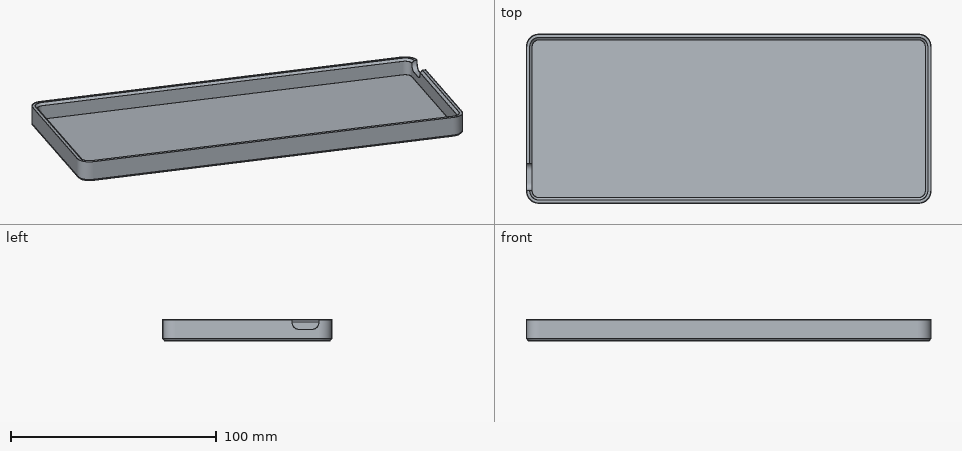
import cadquery as cq

length = 196.5
width = 82.1
height = 10.2
corner_radius = 6.0
bottom_chamfer = 1.0

wall = 2.8
floor_thickness = 2.0
rim_chamfer = 1.2
cavity_radius = corner_radius - wall

notch_width = 13.0
notch_depth = 4.7
notch_radius = 3.3
notch_side_gap = 6.3


def make_body():
    body = cq.Workplane("XY").box(length, width, height, centered=(True, True, False))
    return body.edges("|Z").fillet(corner_radius).faces("<Z").edges().chamfer(bottom_chamfer)


def make_cavity():
    cavity = (
        cq.Workplane("XY")
        .workplane(offset=floor_thickness)
        .rect(length - 2 * wall, width - 2 * wall)
        .extrude(height - floor_thickness)
        .edges("|Z")
        .fillet(cavity_radius)
    )
    return cavity


def make_notch():
    center_y = -width / 2 + notch_side_gap + notch_width / 2
    return (
        cq.Workplane("XY")
        .box(2 * wall, notch_width, 2 * notch_depth)
        .edges("|X")
        .fillet(notch_radius)
        .translate((-length / 2, center_y, height))
    )


def make_tray():
    tray = make_body().cut(make_cavity())
    inner_rim = tray.faces(">Z").wires(cq.selectors.LengthNthSelector(0)).edges()
    return inner_rim.chamfer(rim_chamfer)


result = make_tray().cut(make_notch())